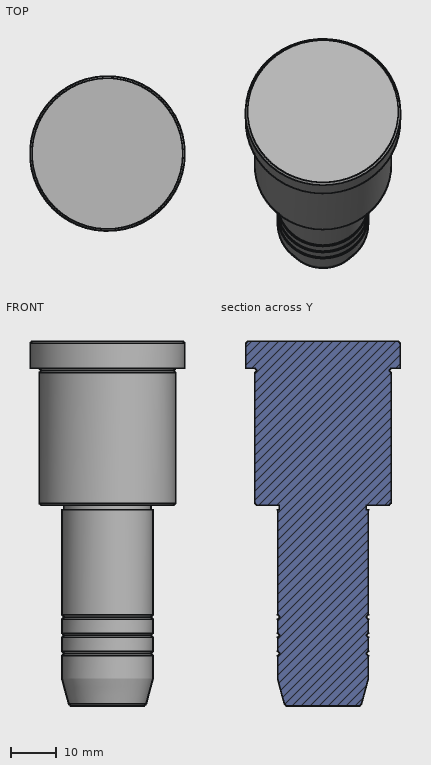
import cadquery as cq
import math

total_height = 80.0
head_height = 6.0
body_height = 30.0
head_radius = 17.0
body_radius = 15.0
shank_radius = 10.0

edge_chamfer = 0.5
relief_depth = 0.4
relief_height = 1.0

groove_depth = 0.5
top_ring_groove_z = 19.5
ring_groove_pitch = 4.0
ring_groove_count = 3

taper_height = 6.0
taper_angle = 15.0
tip_chamfer = 0.5

head_bottom_z = total_height - head_height
body_bottom_z = head_bottom_z - body_height
relief_bottom_z = body_bottom_z - relief_height


def cylinder(radius, bottom_z, top_z):
    """Solid cylinder on the Z axis between two heights."""
    return cq.Workplane("XY").workplane(offset=bottom_z).circle(radius).extrude(top_z - bottom_z)


def v_groove(surface_radius, center_z):
    """Triangular ring that cuts a 90 degree V into a cylinder."""
    profile = [
        (surface_radius, center_z - groove_depth),
        (surface_radius - groove_depth, center_z),
        (surface_radius, center_z + groove_depth),
    ]
    return cq.Workplane("XZ").polyline(profile).close().revolve(360, (0, 0, 0), (0, 1, 0))


def pilot_tip():
    """Cone below the shank, with a small 45 degree break at its end."""
    slope = math.tan(math.radians(taper_angle))
    chamfer_radius = shank_radius - (taper_height - tip_chamfer) * slope
    profile = [
        (0, 0),
        (chamfer_radius - tip_chamfer, 0),
        (chamfer_radius, tip_chamfer),
        (shank_radius, taper_height),
        (0, taper_height),
    ]
    return cq.Workplane("XZ").polyline(profile).close().revolve(360, (0, 0, 0), (0, 1, 0))


head = cylinder(head_radius, head_bottom_z, total_height).faces(">Z").chamfer(edge_chamfer)
body = cylinder(body_radius, body_bottom_z, head_bottom_z).faces("<Z").chamfer(edge_chamfer)
relief = cylinder(shank_radius - relief_depth, relief_bottom_z, body_bottom_z)
shank = cylinder(shank_radius, taper_height, relief_bottom_z)

result = pilot_tip().union(shank).union(relief).union(body).union(head)

result = result.cut(v_groove(body_radius, head_bottom_z - groove_depth))

for index in range(ring_groove_count):
    result = result.cut(v_groove(shank_radius, top_ring_groove_z - index * ring_groove_pitch))